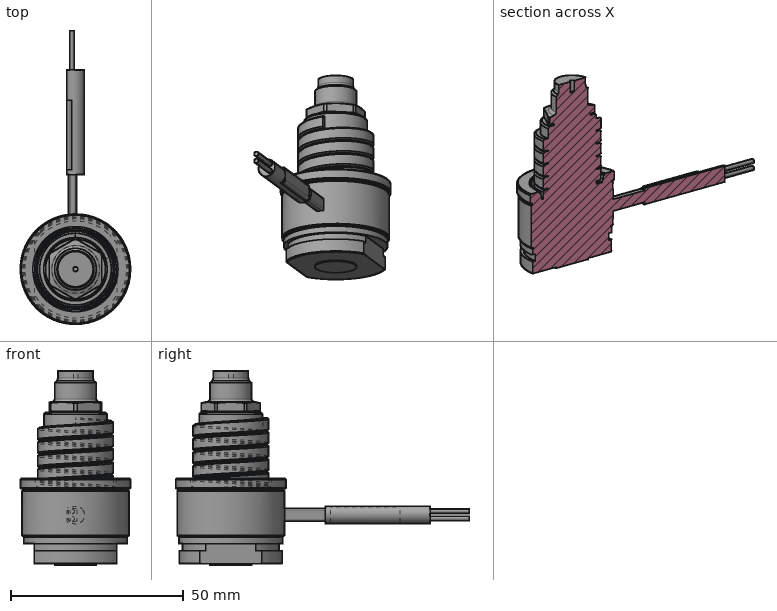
import cadquery as cq
import math


pip_radius = 6.0
pip_height = 0.3
foot_radius = 15.0
foot_top = 4.2
foot_chamfer = 0.25
foot_groove_radius = 14.0
foot_across_flats = 24.0

flange_radius = 15.05
flange_bottom = 6.2
flange_top = 8.1
body_radius = 15.55
body_bottom = 8.3
body_top = 21.8
rim_radius = 16.0
rim_bottom = 22.0
rim_top = 25.1
groove_depth = 0.3
housing_chamfer = 0.3

recess_radius = 12.3
recess_step_depth = 0.4
recess_throat_radius = 11.8
recess_floor_radius = 11.3
recess_depth = 2.55

core_radius = 9.2
core_top = 44.2
core_chamfer = 0.5

coil_radius = 11.0
coil_top = 42.7
coil_pitch = 3.9
coil_gap = 0.2
coil_turns = 5
coil_end_angle = 90.0
coil_chamfer_width = 0.6
coil_chamfer_height = 0.4
coil_overlap = 0.2

nut_neck_radius = 6.9
nut_bottom = 44.5
nut_top = 47.3
nut_across_flats = 15.3
nut_sides = 6
nut_corner_radius = 8.6
nut_cone_radius = 7.0
nut_cone_height = 0.4

stem_radius = 6.0
stem_fillet = 0.85
stem_shoulder = 52.7
step_radius = 5.35
step_height = 53.3
tip_radius = 5.1
tip_bottom = 54.15
overall_height = 56.2
tip_hole_radius = 0.7
tip_hole_depth = 3.4

cable_height = 14.5
cable_width = 2.4
cable_thickness = 3.8
cable_fillet = 0.5
cable_offset = -0.85
cable_inner_end = 12.75
sleeve_radius = 2.55
sleeve_start = 27.4
sleeve_end = 57.6
pad_start = 28.8
pad_end = 48.9
pad_thickness = 4.7
pad_face = -2.55
pad_fillet = 0.85
wire_radius = 0.7
wire_spacing = 2.1
wire_offset = -1.0
overall_length = 85.0
wire_end = overall_length - rim_radius


def disk(radius, bottom, top):
    return cq.Workplane("XY").workplane(offset=bottom).circle(radius).extrude(top - bottom)


def turned(outline):
    """Turn a closed XZ outline a full circle about the Z axis."""
    return outline.revolve(360, (0, 0), (0, 1))


def y_workplane(start, x):
    """Sketch plane at Y = start, centred on the cable height; it faces -Y, so +Y lengths are negative."""
    return cq.Workplane("XZ", origin=(x, start, cable_height))


def make_foot():
    foot = disk(foot_radius, pip_height, foot_top).faces("<Z").chamfer(foot_chamfer)
    foot = foot.union(disk(foot_groove_radius, foot_top, flange_bottom))
    flats = cq.Workplane("XY").rect(foot_across_flats, 2 * foot_radius).extrude(flange_bottom)
    return foot.intersect(flats).union(disk(pip_radius, 0, pip_height))


def make_housing():
    flange = disk(flange_radius, flange_bottom, flange_top)
    body = disk(body_radius, body_bottom, body_top).edges().chamfer(housing_chamfer)
    rim = disk(rim_radius, rim_bottom, rim_top).edges().chamfer(housing_chamfer)
    lower_groove = disk(flange_radius - groove_depth, flange_top, body_bottom)
    upper_groove = disk(body_radius - groove_depth, body_top, rim_bottom)
    housing = flange.union(lower_groove).union(body).union(upper_groove).union(rim)
    outline = (
        cq.Workplane("XZ")
        .moveTo(0, rim_top)
        .lineTo(recess_radius, rim_top)
        .lineTo(recess_radius, rim_top - recess_step_depth)
        .lineTo(recess_throat_radius, rim_top - recess_step_depth)
        .lineTo(recess_floor_radius, rim_top - recess_depth)
        .lineTo(0, rim_top - recess_depth)
        .close()
    )
    return housing.cut(turned(outline))


def make_core():
    floor = rim_top - recess_depth
    return disk(core_radius, floor, core_top).faces(">Z").chamfer(core_chamfer)


def make_coil():
    rise = coil_pitch * coil_turns
    band_height = coil_pitch - coil_gap
    inner = core_radius - coil_overlap
    chamfer_start = coil_radius - coil_chamfer_width
    profile = (
        cq.Workplane("XZ")
        .moveTo(inner, 0)
        .lineTo(chamfer_start, 0)
        .lineTo(coil_radius, coil_chamfer_height)
        .lineTo(coil_radius, band_height - coil_chamfer_height)
        .lineTo(chamfer_start, band_height)
        .lineTo(inner, band_height)
        .close()
    )
    path = cq.Workplane(cq.Wire.makeHelix(coil_pitch, rise, inner))
    coil = profile.sweep(path, isFrenet=True)
    coil = coil.rotate((0, 0, 0), (0, 0, 1), coil_end_angle)
    return coil.translate((0, 0, coil_top - band_height - rise))


def make_nut():
    half_side_angle = 180 / nut_sides
    corner_to_corner = nut_across_flats / math.cos(math.radians(half_side_angle))
    height = nut_top - nut_bottom
    base = cq.Workplane("XY").workplane(offset=nut_bottom)
    nut = base.polygon(nut_sides, corner_to_corner).extrude(height)
    nut = nut.rotate((0, 0, 0), (0, 0, 1), half_side_angle)
    outline = (
        cq.Workplane("XZ")
        .moveTo(0, nut_bottom)
        .lineTo(nut_corner_radius, nut_bottom)
        .lineTo(nut_corner_radius, nut_top - nut_cone_height)
        .lineTo(nut_cone_radius, nut_top)
        .lineTo(0, nut_top)
        .close()
    )
    nut = nut.intersect(turned(outline))
    return nut.union(disk(nut_neck_radius, core_top, nut_bottom))


def make_stem():
    outline = (
        cq.Workplane("XZ")
        .moveTo(0, nut_top)
        .lineTo(stem_radius + stem_fillet, nut_top)
        .radiusArc((stem_radius, nut_top + stem_fillet), stem_fillet)
        .lineTo(stem_radius, stem_shoulder)
        .lineTo(step_radius, step_height)
        .lineTo(tip_radius, tip_bottom)
        .lineTo(tip_radius, overall_height)
        .lineTo(0, overall_height)
        .close()
    )
    tip_hole = disk(tip_hole_radius, overall_height - tip_hole_depth, overall_height)
    return turned(outline).cut(tip_hole)


def make_cable():
    cable = (
        y_workplane(cable_inner_end, cable_offset)
        .rect(cable_width, cable_thickness)
        .extrude(cable_inner_end - sleeve_start)
        .edges("|Y")
        .fillet(cable_fillet)
    )
    sleeve = y_workplane(sleeve_start, 0).circle(sleeve_radius).extrude(sleeve_start - sleeve_end)
    pad = (
        y_workplane(pad_start, pad_face / 2)
        .rect(-pad_face, pad_thickness)
        .extrude(pad_start - pad_end)
        .edges("|Y and <X")
        .fillet(pad_fillet)
    )
    wires = (
        y_workplane(sleeve_end, wire_offset)
        .pushPoints([(0, wire_spacing / 2), (0, -wire_spacing / 2)])
        .circle(wire_radius)
        .extrude(sleeve_end - wire_end)
    )
    return cable.union(sleeve).union(pad).union(wires)


tower = make_core().union(make_coil()).union(make_nut()).union(make_stem())
result = make_foot().union(make_housing()).union(tower).union(make_cable())